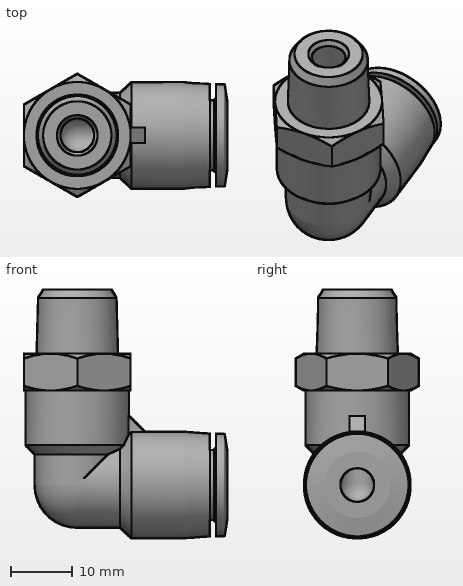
import cadquery as cq
import math


elbow_radius = 7.0
bore_diameter = 5.5
bore_radius = bore_diameter / 2

neck_top = 5.0
body_bottom = 6.5
body_radius = 17.0 / 2
hex_bottom = 15.45
hex_top = 21.48
hex_flats = 17.5
hex_chamfer_angle = 30
thread_base_radius = 6.7
thread_tip_radius = 6.45
thread_chamfer_width = 0.85
thread_chamfer_height = 1.4

socket_radius = hex_flats / 2
overall_height = 40.75
thread_top = overall_height - socket_radius
overall_length = 33.35
button_end = overall_length - hex_flats / 2
neck_end = 7.0
socket_start = 8.85
taper_start = 17.45
taper_end = 20.38
socket_end = 21.68
taper_end_radius = 8.5
socket_end_radius = 8.45
button_stem_radius = 11.55 / 2
button_radius = 16.8 / 2
button_start = 22.65
button_rim_end = 23.9
button_rim_rounding = 0.25
button_face_radius = 5.4
stem_fillet = 0.33

mouth_chamfer_width = 0.57
mouth_chamfer_depth = 0.8

rib_width = 2.55
rib_reach = 19.8


def revolve_z(points):
    """Solid of revolution about Z from (radius, height) points."""
    return cq.Workplane("XZ").polyline(points).close().revolve(360, (0, 0), (0, 1))


def threaded_leg():
    return revolve_z([
        (0, 0),
        (elbow_radius, 0),
        (elbow_radius, neck_top),
        (body_radius, body_bottom),
        (body_radius, hex_bottom),
        (thread_base_radius, hex_bottom),
        (thread_base_radius, hex_top),
        (thread_tip_radius, thread_top - thread_chamfer_height),
        (thread_tip_radius - thread_chamfer_width, thread_top),
        (0, thread_top),
    ])


def hexagon():
    """Hexagon with flats facing +X and -X and its corners chamfered at both ends."""
    flat_radius = hex_flats / 2
    corner_radius = flat_radius / math.cos(math.pi / 6)
    corner_drop = (corner_radius - flat_radius) * math.tan(math.radians(hex_chamfer_angle))
    prism = (
        cq.Workplane("XY", origin=(0, 0, hex_bottom))
        .polygon(6, 2 * corner_radius)
        .extrude(hex_top - hex_bottom)
        .rotate((0, 0, 0), (0, 0, 1), 30)
    )
    envelope = revolve_z([
        (0, hex_bottom),
        (flat_radius, hex_bottom),
        (corner_radius, hex_bottom + corner_drop),
        (corner_radius, hex_top - corner_drop),
        (flat_radius, hex_top),
        (0, hex_top),
    ])
    return prism.intersect(envelope)


def socket_leg():
    """Socket and release button, revolved about X."""
    rim_round_middle = (
        button_rim_end + button_rim_rounding * math.sin(math.pi / 4),
        button_radius - button_rim_rounding * (1 - math.cos(math.pi / 4)),
    )
    rim_round_end = (button_rim_end + button_rim_rounding, button_radius - button_rim_rounding)
    return (
        cq.Workplane("XZ")
        .moveTo(0, 0)
        .lineTo(0, elbow_radius)
        .lineTo(neck_end, elbow_radius)
        .lineTo(socket_start, socket_radius)
        .lineTo(taper_start, socket_radius)
        .lineTo(taper_end, taper_end_radius)
        .lineTo(socket_end, socket_end_radius)
        .lineTo(socket_end, button_stem_radius)
        .lineTo(button_start - stem_fillet, button_stem_radius)
        .lineTo(button_start, button_stem_radius + stem_fillet)
        .lineTo(button_start, button_radius)
        .lineTo(button_rim_end, button_radius)
        .threePointArc(rim_round_middle, rim_round_end)
        .lineTo(button_end, button_face_radius)
        .lineTo(button_end, 0)
        .close()
        .revolve(360, (0, 0), (1, 0))
    )


def corner_rib():
    return (
        cq.Workplane("XZ")
        .polyline([(0, 0), (rib_reach - body_radius, 0), (rib_reach - socket_radius, socket_radius),
                   (body_radius, rib_reach - body_radius), (0, rib_reach - body_radius)])
        .close()
        .extrude(rib_width / 2, both=True)
    )


def passage():
    """Elbow bore open at both ends, with a rounded corner and a chamfered top mouth."""
    upright = cq.Workplane("XY").circle(bore_radius).extrude(thread_top)
    level = cq.Workplane("YZ").circle(bore_radius).extrude(button_end)
    mouth = revolve_z([
        (0, thread_top - mouth_chamfer_depth),
        (bore_radius, thread_top - mouth_chamfer_depth),
        (bore_radius + mouth_chamfer_width, thread_top),
        (0, thread_top),
    ])
    return upright.union(level).union(cq.Workplane("XY").sphere(bore_radius)).union(mouth)


result = (
    threaded_leg()
    .union(hexagon())
    .union(socket_leg())
    .union(cq.Workplane("XY").sphere(elbow_radius))
    .union(corner_rib())
    .cut(passage())
)